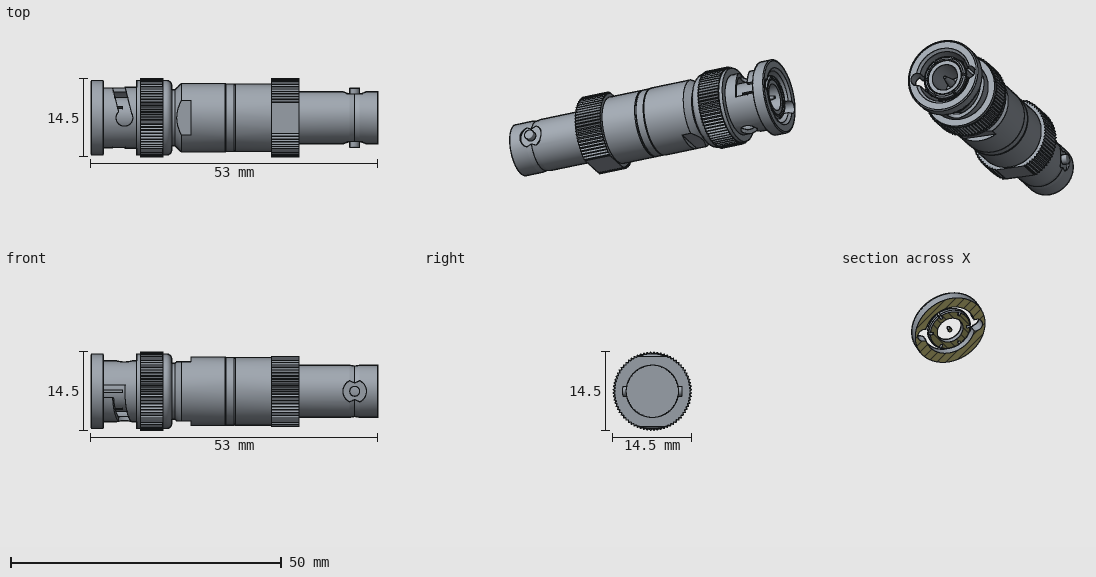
import cadquery as cq
import math


TOOTH_COUNT = 72
TOOTH_PITCH = 360 / TOOTH_COUNT
KNURL_TIP_RADIUS = 7.252
KNURL_ROOT_RADIUS = 6.92

COLLAR_RADIUS = KNURL_ROOT_RADIUS
COLLAR_LENGTH = 2.35
COLLAR_CHAMFER_LENGTH = 0.15
COLLAR_CHAMFER_DEPTH = 0.27
BARREL_RADIUS = 5.66
NUT_FLANGE_START = 8.45
NUT_KNURL_START = 9.15
NUT_KNURL_END = 13.3
NUT_END = 14.95
NUT_ROUND_RADIUS = 1.0
NUT_BORE_RADIUS = 4.87
NUT_BORE_CHAMFER = 0.5
NUT_REAR_BORE_START = 10.0

TRACK_WIDTH = 2.4
TRACK_TOP_RADIUS = 6.33
ENTRY_END = 6.3
RAMP_WIDTH = 2.33
RAMP_CENTRE_ON_AXIS = 6.58
RAMP_SLOPE = 0.255
LOCK_HOLE_RADIUS = 1.55
LOCK_HOLE_X = 6.2

NECK_RADIUS = 5.2
SHOULDER_CHAMFER_END = 16.7
HOUSING_RADIUS = 6.35
SHOULDER_X = SHOULDER_CHAMFER_END - (HOUSING_RADIUS - NECK_RADIUS)
WRENCH_FLAT_HEIGHT = 5.5
WRENCH_FLAT_END = 18.45
FRONT_HOUSING_END = 24.95
END_CHAMFER_LENGTH = 0.2

SLEEVE_FRONT = 0.7
SLEEVE_RADIUS = 3.78
SLEEVE_INNER_RADIUS = 3.28
SLEEVE_INNER_CHAMFER = 0.18
BEAD_RADIUS = 4.1
BEAD_START = 1.0
BEAD_END = 1.7
BEAD_TAPER_END = 2.2
SLIT_COUNT = 6
SLIT_WIDTH = 0.4
SLIT_END = 5.83
TUBE_FRONT = 1.0
TUBE_BORE_RADIUS = 2.49
TUBE_FLOOR = 8.0
PIN_RADIUS = 0.72
PIN_TIP_RADIUS = 0.25
PIN_TIP_X = 1.0
PIN_CONE_LENGTH = 3.0

REAR_RADIUS = 6.28
RING_GROOVE_X = 26.45
RING_GROOVE_WIDTH = 0.25
RING_GROOVE_DEPTH = 0.25
GRIP_START = 33.35
GRIP_END = 38.45
GRIP_FLAT_HEIGHT = 6.46
JACK_RADIUS = 4.83
JACK_END = 53.0
STUD_X = 48.73
STUD_RADIUS = 0.92
STUD_REACH = 5.5
STUD_EDGE_ROUND = 0.08
SPOT_RADIUS = 2.17
SPOT_HEIGHT = 4.42
JACK_GROOVE_HALF_WIDTH = 0.93
JACK_GROOVE_DEPTH = 0.16

CUT_MARGIN = 2.0


def revolve_about_x(outline):
    return outline.close().revolve(360, (0, 0, 0), (1, 0, 0))


def disc(start, end, radius):
    return cq.Workplane("YZ").workplane(offset=start).circle(radius).extrude(end - start)


def box_between(x_range, y_range, z_range):
    size = [high - low for low, high in (x_range, y_range, z_range)]
    corner = (x_range[0], y_range[0], z_range[0])
    return cq.Workplane("XY").box(*size, centered=False).translate(corner)


def knurled_disc(start, end):
    """Disc with sharp V teeth; the valleys lie on the Y and Z axes."""
    points = []
    for tooth in range(TOOTH_COUNT):
        for turn, radius in ((0, KNURL_ROOT_RADIUS), (0.5, KNURL_TIP_RADIUS)):
            angle = math.radians((tooth + turn) * TOOTH_PITCH)
            points.append((radius * math.cos(angle), radius * math.sin(angle)))
    return cq.Workplane("YZ").workplane(offset=start).polyline(points).close().extrude(end - start)


def nut_blank():
    collar_face_radius = COLLAR_RADIUS - COLLAR_CHAMFER_DEPTH
    outline = (
        cq.Workplane("XY")
        .moveTo(0, NUT_BORE_RADIUS + NUT_BORE_CHAMFER)
        .lineTo(0, collar_face_radius)
        .lineTo(COLLAR_CHAMFER_LENGTH, COLLAR_RADIUS)
        .lineTo(COLLAR_LENGTH - COLLAR_CHAMFER_LENGTH, COLLAR_RADIUS)
        .lineTo(COLLAR_LENGTH, collar_face_radius)
        .lineTo(COLLAR_LENGTH, BARREL_RADIUS)
        .lineTo(NUT_FLANGE_START, BARREL_RADIUS)
        .lineTo(NUT_FLANGE_START, COLLAR_RADIUS)
        .lineTo(NUT_END - NUT_ROUND_RADIUS, COLLAR_RADIUS)
        .tangentArcPoint((NUT_ROUND_RADIUS, -NUT_ROUND_RADIUS))
        .lineTo(NUT_END, NECK_RADIUS)
        .lineTo(NUT_REAR_BORE_START, NECK_RADIUS)
        .lineTo(NUT_REAR_BORE_START, NUT_BORE_RADIUS)
        .lineTo(NUT_BORE_CHAMFER, NUT_BORE_RADIUS)
    )
    knurl = knurled_disc(NUT_KNURL_START, NUT_KNURL_END)
    knurl = knurl.cut(disc(NUT_KNURL_START, NUT_KNURL_END, NECK_RADIUS))
    return revolve_about_x(outline).union(knurl)


def bayonet_track():
    """Entry channel on +Y, slanted ramp through the +Y+Z quarter, and round lock hole on +Z."""
    half_width = TRACK_WIDTH / 2
    crown_centre = TRACK_TOP_RADIUS - half_width
    entry = box_between((0, ENTRY_END), (0, crown_centre), (-half_width, half_width))
    crown = disc(0, ENTRY_END, half_width).translate((0, crown_centre, 0))
    outer = BARREL_RADIUS + CUT_MARGIN

    def ramp_x(y, side):
        return RAMP_CENTRE_ON_AXIS - RAMP_SLOPE * y + side * RAMP_WIDTH / 2

    ramp = (
        cq.Workplane("XY", origin=(0, 0, -half_width))
        .moveTo(ramp_x(0, -1), 0)
        .lineTo(ramp_x(0, 1), 0)
        .lineTo(ramp_x(BARREL_RADIUS, 1), BARREL_RADIUS)
        .lineTo(ramp_x(BARREL_RADIUS, -1), BARREL_RADIUS)
        .close()
        .extrude(half_width + outer)
    )
    lock_hole = cq.Workplane("XY").center(LOCK_HOLE_X, 0).circle(LOCK_HOLE_RADIUS).extrude(outer)
    return entry.union(crown).union(ramp).union(lock_hole)


def coupling_nut():
    nut = nut_blank()
    track = bayonet_track()
    for turn in (0, 180):
        nut = nut.cut(track.rotate((0, 0, 0), (1, 0, 0), turn))
    return nut


def sleeve_slits():
    """Radial slits that divide the contact sleeve into equal fingers."""
    slit = box_between(
        (0, SLIT_END),
        (SLEEVE_INNER_RADIUS, BEAD_RADIUS + CUT_MARGIN),
        (-SLIT_WIDTH / 2, SLIT_WIDTH / 2),
    )
    return [slit.rotate((0, 0, 0), (1, 0, 0), index * 360 / SLIT_COUNT) for index in range(SLIT_COUNT)]


def wrench_flats(x_range, height):
    reach = KNURL_TIP_RADIUS + CUT_MARGIN
    upper = box_between(x_range, (-reach, reach), (height, reach))
    return upper.union(upper.mirror("XY"))


def front_housing():
    outline = (
        cq.Workplane("XY")
        .moveTo(PIN_TIP_X, 0)
        .lineTo(PIN_TIP_X, PIN_TIP_RADIUS)
        .lineTo(PIN_TIP_X + PIN_CONE_LENGTH, PIN_RADIUS)
        .lineTo(TUBE_FLOOR, PIN_RADIUS)
        .lineTo(TUBE_FLOOR, TUBE_BORE_RADIUS)
        .lineTo(TUBE_FRONT, TUBE_BORE_RADIUS)
        .lineTo(TUBE_FRONT, SLEEVE_INNER_RADIUS)
        .lineTo(SLEEVE_FRONT + SLEEVE_INNER_CHAMFER, SLEEVE_INNER_RADIUS)
        .lineTo(SLEEVE_FRONT, SLEEVE_INNER_RADIUS + SLEEVE_INNER_CHAMFER)
        .lineTo(SLEEVE_FRONT, SLEEVE_RADIUS)
        .lineTo(BEAD_START, BEAD_RADIUS)
        .lineTo(BEAD_END, BEAD_RADIUS)
        .lineTo(BEAD_TAPER_END, SLEEVE_RADIUS)
        .lineTo(NUT_REAR_BORE_START, SLEEVE_RADIUS)
        .lineTo(NUT_REAR_BORE_START, NECK_RADIUS)
        .lineTo(SHOULDER_X, NECK_RADIUS)
        .lineTo(SHOULDER_CHAMFER_END, HOUSING_RADIUS)
        .lineTo(FRONT_HOUSING_END - END_CHAMFER_LENGTH, HOUSING_RADIUS)
        .lineTo(FRONT_HOUSING_END, REAR_RADIUS)
        .lineTo(FRONT_HOUSING_END, 0)
    )
    housing = revolve_about_x(outline).cut(wrench_flats((SHOULDER_X, WRENCH_FLAT_END), WRENCH_FLAT_HEIGHT))
    for slit in sleeve_slits():
        housing = housing.cut(slit)
    return housing


def bayonet_stud(side):
    """Round stud whose outer end follows a cylinder about the X axis."""
    stud = cq.Workplane("XZ").center(STUD_X, 0).circle(STUD_RADIUS).extrude(STUD_REACH)
    stud = stud.intersect(disc(STUD_X - STUD_RADIUS, STUD_X + STUD_RADIUS, STUD_REACH))
    stud = stud.faces("<Y").edges().fillet(STUD_EDGE_ROUND)
    return stud if side < 0 else stud.mirror("XZ")


def stud_spot_face(side):
    spot = cq.Workplane("XZ", origin=(STUD_X, -SPOT_HEIGHT, 0)).circle(SPOT_RADIUS).extrude(CUT_MARGIN)
    return spot if side < 0 else spot.mirror("XZ")


def rear_housing():
    outline = (
        cq.Workplane("XY")
        .moveTo(FRONT_HOUSING_END, 0)
        .lineTo(FRONT_HOUSING_END, REAR_RADIUS)
        .lineTo(RING_GROOVE_X, REAR_RADIUS)
        .lineTo(RING_GROOVE_X, REAR_RADIUS - RING_GROOVE_DEPTH)
        .lineTo(RING_GROOVE_X + RING_GROOVE_WIDTH, REAR_RADIUS)
        .lineTo(GRIP_START, REAR_RADIUS)
        .lineTo(GRIP_START, JACK_RADIUS)
        .lineTo(STUD_X - JACK_GROOVE_HALF_WIDTH, JACK_RADIUS)
        .lineTo(STUD_X, JACK_RADIUS - JACK_GROOVE_DEPTH)
        .lineTo(STUD_X + JACK_GROOVE_HALF_WIDTH, JACK_RADIUS)
        .lineTo(JACK_END, JACK_RADIUS)
        .lineTo(JACK_END, 0)
    )
    grip = knurled_disc(GRIP_START, GRIP_END).cut(wrench_flats((GRIP_START, GRIP_END), GRIP_FLAT_HEIGHT))
    housing = revolve_about_x(outline).union(grip)
    for side in (-1, 1):
        housing = housing.cut(stud_spot_face(side)).union(bayonet_stud(side))
    return housing


result = cq.Compound.makeCompound([
    coupling_nut().val(),
    front_housing().val(),
    rear_housing().val(),
])